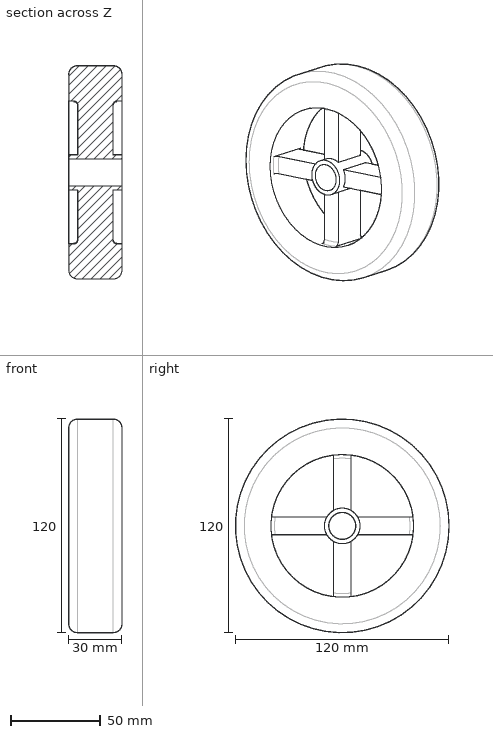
import cadquery as cq

wheel_width = 30.0
tyre_diameter = 120.0
tyre_edge_radius = 5.0
rim_bore_diameter = 80.0

hub_diameter = 20.0
axle_bore_diameter = 15.0

spoke_width = 10.0
spoke_thickness = 20.0
spoke_root_radius = 2.0

rim_radius = rim_bore_diameter / 2
rim_overlap = 5.0


def cylinder_along_x(diameter, length):
    return cq.Workplane("YZ", origin=(-length / 2, 0, 0)).circle(diameter / 2).extrude(length)


def make_rim():
    tyre = cylinder_along_x(tyre_diameter, wheel_width).edges().fillet(tyre_edge_radius)
    return tyre.cut(cylinder_along_x(rim_bore_diameter, wheel_width))


def make_spoke_disc():
    """Solid disc whose two faces flare out tangentially into the rim bore."""
    half_thickness = spoke_thickness / 2
    flare_half_width = half_thickness + spoke_root_radius
    flare_start = rim_radius - spoke_root_radius
    outer_radius = rim_radius + rim_overlap
    half_profile = (
        cq.Workplane("XY")
        .lineTo(half_thickness, 0)
        .lineTo(half_thickness, flare_start)
        .radiusArc((flare_half_width, rim_radius), spoke_root_radius)
        .lineTo(flare_half_width, outer_radius)
        .lineTo(0, outer_radius)
        .close()
    )
    half_disc = half_profile.revolve(360, (0, 0, 0), (1, 0, 0))
    return half_disc.union(half_disc.mirror("YZ"))


def make_spokes():
    span = rim_bore_diameter + 2 * rim_overlap
    bar_along_y = cq.Workplane("XY").box(wheel_width, span, spoke_width)
    bar_along_z = cq.Workplane("XY").box(wheel_width, spoke_width, span)
    return make_spoke_disc().intersect(bar_along_y.union(bar_along_z))


hub = cylinder_along_x(hub_diameter, wheel_width)
axle_bore = cylinder_along_x(axle_bore_diameter, wheel_width)

result = make_rim().union(make_spokes()).union(hub).cut(axle_bore).clean()